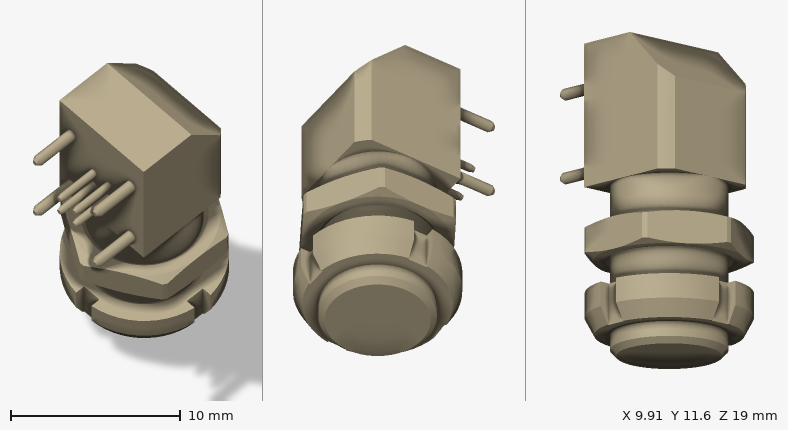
import cadquery as cq
import math

barrel_diameter = 7.0
barrel_height = 10.28
barrel_chamfer = 0.36

total_height = 19.0
block_width = 7.18
block_depth = barrel_diameter
block_corner_radius = 4.52
block_slope = 3.1
block_height = total_height - barrel_height
block_front_y = -block_depth / 2

pin_center_z = 14.02
ground_pin_pitch = 5.1
ground_pin_diameter = 0.7
ground_pin_length = 3.0
ground_tip_diameter = 0.35
ground_tip_length = 0.27
contact_pin_pitch = 1.27
contact_pin_diameter = 0.5
contact_pin_length = 2.85
contact_tip_diameter = 0.35
contact_tip_length = 0.3

countersink_diameter = 7.56
countersink_depth = (countersink_diameter - barrel_diameter) / 2

hex_bottom_z = 5.75
hex_height = 2.0
hex_across_flats = 9.0
hex_corner_diameter = 10.22
hex_chamfer_height = 0.23

ring_bottom_z = 1.27
ring_height = 2.53
ring_cone_height = 1.05
ring_diameter = 10.0
ring_cone_diameter = 8.87
ring_slot_width = 1.31
ring_slot_floor = 4.3
ring_slot_count = 4


def make_block():
    """Block with rounded rear corners and a 45 degree slope at the rear top edge."""
    block = (
        cq.Workplane("XY", origin=(0, 0, barrel_height))
        .box(block_width, block_depth, block_height, centered=(True, True, False))
        .faces(">Z").edges(">Y").chamfer(block_slope)
    )
    envelope = (
        cq.Workplane("XY", origin=(0, 0, barrel_height))
        .circle(block_corner_radius).extrude(block_height)
    )
    front_half = (
        cq.Workplane("XY", origin=(0, block_front_y, barrel_height))
        .box(block_width, block_depth / 2, block_height, centered=(True, False, False))
    )
    return block.intersect(envelope.union(front_half))


def make_pin(x, z, diameter, length, tip_diameter, tip_length):
    """Pin with a tapered tip, pointing to -Y from the front face of the block."""
    radius = diameter / 2
    profile = [
        (0, 0),
        (radius, 0),
        (radius, tip_length - length),
        (tip_diameter / 2, -length),
        (0, -length),
    ]
    pin = cq.Workplane("XY").polyline(profile).close().revolve(360, (0, 0), (0, 1))
    return pin.translate((x, block_front_y, z))


def make_housing():
    """Barrel, block and all pins as one solid."""
    barrel = (
        cq.Workplane("XY").circle(barrel_diameter / 2).extrude(barrel_height)
        .faces("<Z").chamfer(barrel_chamfer)
    )
    body = barrel.union(make_block())
    for side_x in (-0.5, 0.5):
        for side_z in (-0.5, 0.5):
            body = body.union(make_pin(
                side_x * ground_pin_pitch, pin_center_z + side_z * ground_pin_pitch,
                ground_pin_diameter, ground_pin_length, ground_tip_diameter, ground_tip_length,
            ))
            body = body.union(make_pin(
                side_x * contact_pin_pitch, pin_center_z + side_z * contact_pin_pitch,
                contact_pin_diameter, contact_pin_length, contact_tip_diameter, contact_tip_length,
            ))
    return body


def make_hex_nut():
    """Nut with corners on +Y and -Y, turned conical corners and a bore countersunk at both ends."""
    bore_radius = barrel_diameter / 2
    countersink_radius = countersink_diameter / 2
    face_radius = hex_across_flats / 2
    corner_radius = hex_corner_diameter / 2
    turned_profile = [
        (bore_radius, countersink_depth),
        (countersink_radius, 0),
        (face_radius, 0),
        (corner_radius, hex_chamfer_height),
        (corner_radius, hex_height - hex_chamfer_height),
        (face_radius, hex_height),
        (countersink_radius, hex_height),
        (bore_radius, hex_height - countersink_depth),
    ]
    turned = cq.Workplane("XZ").polyline(turned_profile).close().revolve(360, (0, 0), (0, 1))
    across_corners = hex_across_flats / math.cos(math.pi / 6)
    prism = (
        cq.Workplane("XY").polygon(6, across_corners).extrude(hex_height)
        .rotate((0, 0, 0), (0, 0, 1), 90)
    )
    return prism.intersect(turned).translate((0, 0, hex_bottom_z))


def make_slotted_nut():
    """Round nut with a conical lower edge, a bore countersunk at the top and wrench slots."""
    bore_radius = barrel_diameter / 2
    ring_radius = ring_diameter / 2
    profile = [
        (bore_radius, 0),
        (ring_cone_diameter / 2, 0),
        (ring_radius, ring_cone_height),
        (ring_radius, ring_height),
        (countersink_diameter / 2, ring_height),
        (bore_radius, ring_height - countersink_depth),
    ]
    nut = cq.Workplane("XZ").polyline(profile).close().revolve(360, (0, 0), (0, 1))
    slot = (
        cq.Workplane("XY", origin=(ring_slot_floor, 0, 0))
        .box(ring_radius, ring_slot_width, ring_height, centered=(False, True, False))
    )
    for index in range(ring_slot_count):
        nut = nut.cut(slot.rotate((0, 0, 0), (0, 0, 1), index * 360 / ring_slot_count))
    return nut.translate((0, 0, ring_bottom_z))


housing = make_housing()
hex_nut = make_hex_nut()
slotted_nut = make_slotted_nut()

result = cq.Compound.makeCompound([
    housing.solids().val(),
    hex_nut.solids().val(),
    slotted_nut.solids().val(),
])